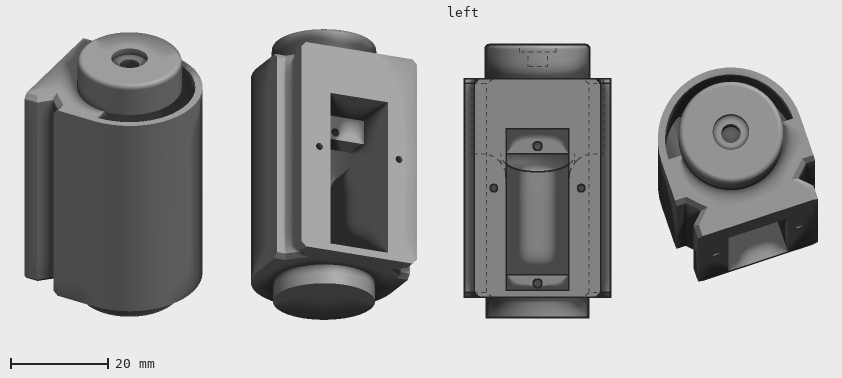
import cadquery as cq

body_length = 32.5
body_width = 30.0
body_radius = body_width / 2
front_x = body_radius - body_length
stub_height = 4.15
body_height = 44.95
total_height = 56.1
body_top = stub_height + body_height

front_half_width = 13.0
groove_x = -12.05
groove_half_width = 10.55
groove_run = front_half_width - groove_half_width
shoulder_x = groove_x + groove_run
chamfer = 1.0

knob_diameter = 21.5
knob_round = 1.0
stub_diameter = 21.0
counterbore_diameter = 7.5
counterbore_depth = 1.5
knob_hole_diameter = 4.0
knob_hole_depth = 4.5

window_width = 12.9
window_bottom = 5.65
window_top = 38.75
seat_x = -5.6
pocket_bottom = 8.8
pocket_top = 33.65
pocket_back_x = 11.2

cavity_radius = 13.5
cavity_floor = pocket_top
cavity_edge_round = 5.0
end_recess_floor = 29.5
end_recess_round = cavity_floor - end_recess_floor

screw_depth = 2.8
seat_hole_diameter = 1.8
seat_hole_heights = (7.0, 35.25)
face_hole_diameter = 1.5
face_hole_y = 9.0
face_hole_z = 26.6


def x_span_box(x_start, x_end, width, z_start, z_end):
    """Box centred on Y between the given X and Z limits."""
    return cq.Workplane("XY").box(
        x_end - x_start, width, z_end - z_start, centered=(False, True, False)
    ).translate((x_start, 0, z_start))


def z_cylinder(diameter, z_start, z_end):
    return cq.Workplane("XY", origin=(0, 0, z_start)).circle(diameter / 2).extrude(z_end - z_start)


def screw_hole(x, y, z, diameter):
    return cq.Workplane("YZ", origin=(x, y, z)).circle(diameter / 2).extrude(screw_depth)


def make_body():
    outline = (
        cq.Workplane("XY", origin=(0, 0, stub_height))
        .moveTo(front_x, -front_half_width)
        .lineTo(groove_x - groove_run, -front_half_width)
        .lineTo(groove_x, -groove_half_width)
        .lineTo(shoulder_x, -front_half_width)
        .lineTo(shoulder_x, -body_radius)
        .lineTo(0, -body_radius)
        .threePointArc((body_radius, 0), (0, body_radius))
        .lineTo(shoulder_x, body_radius)
        .lineTo(shoulder_x, front_half_width)
        .lineTo(groove_x, groove_half_width)
        .lineTo(groove_x - groove_run, front_half_width)
        .lineTo(front_x, front_half_width)
        .close()
    )
    body = outline.extrude(body_height)
    margin = 0.05
    groove_zone = cq.selectors.BoxSelector(
        (front_x + margin, -body_radius - margin, 0),
        (shoulder_x + margin, body_radius + margin, total_height),
    )
    return body.faces("<Z or >Z").edges(groove_zone).chamfer(chamfer)


def make_knob():
    knob = z_cylinder(knob_diameter, body_top, total_height).faces(">Z").edges().fillet(knob_round)
    return knob.faces(">Z").workplane().cboreHole(
        knob_hole_diameter, counterbore_diameter, counterbore_depth, knob_hole_depth
    )


def make_window():
    mouth = x_span_box(front_x, seat_x, window_width, window_bottom, window_top)
    pocket = x_span_box(seat_x, pocket_back_x, window_width, pocket_bottom, pocket_top)
    return mouth.union(pocket)


def make_cavity():
    upper = z_cylinder(2 * cavity_radius, cavity_floor, body_top).intersect(
        x_span_box(0, body_radius, 2 * body_radius, 0, total_height)
    )
    recess = z_cylinder(2 * cavity_radius, end_recess_floor, body_top)
    recess = recess.faces("<Z").edges().fillet(end_recess_round)
    recess = recess.intersect(x_span_box(pocket_back_x, body_radius, 2 * body_radius, 0, total_height))
    half_width = window_width / 2
    lip_half_width = half_width + cavity_edge_round
    lip_bottom = cavity_floor - cavity_edge_round
    lips = x_span_box(0, pocket_back_x, 2 * lip_half_width, lip_bottom, cavity_floor)
    for side in (-1, 1):
        lip = (
            cq.Workplane("YZ", origin=(0, side * lip_half_width, lip_bottom))
            .circle(cavity_edge_round)
            .extrude(pocket_back_x)
        )
        lips = lips.cut(lip)
    lips = lips.intersect(z_cylinder(2 * cavity_radius, 0, total_height))
    return upper.union(recess).union(lips)


result = make_body().cut(make_cavity()).cut(make_window())
for height in seat_hole_heights:
    result = result.cut(screw_hole(seat_x, 0, height, seat_hole_diameter))
for side in (-1, 1):
    result = result.cut(screw_hole(front_x, side * face_hole_y, face_hole_z, face_hole_diameter))
result = result.union(z_cylinder(stub_diameter, 0, stub_height)).union(make_knob())